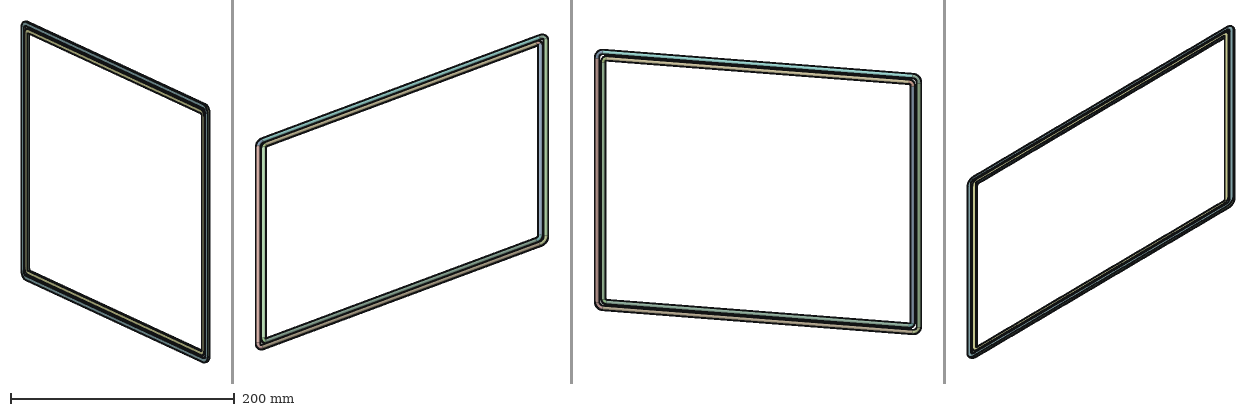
import cadquery as cq
import math

LENGTH = 302.5
HEIGHT = 242.7
DEPTH = 3.3

STRIP_WIDTH = 4.0
FRAME_GAP = 1.8
OUTER_FRAME_RADIUS = 7.5
INNER_FRAME_RADIUS = 5.0

HALF_WIDTH = STRIP_WIDTH / 2
FRONT_Y = -DEPTH / 2
BACK_Y = DEPTH / 2
SHOULDER_Y = BACK_Y - HALF_WIDTH


def centreline(half_length, half_height, radius):
    """Rounded rectangle in the XZ plane, starting at the middle of the +X side."""
    corner_x = half_length - radius
    corner_z = half_height - radius
    diagonal = radius * math.sqrt(0.5)
    arc_x = corner_x + diagonal
    arc_z = corner_z + diagonal
    return (
        cq.Workplane("XZ")
        .moveTo(half_length, 0)
        .lineTo(half_length, corner_z)
        .threePointArc((arc_x, arc_z), (corner_x, half_height))
        .lineTo(-corner_x, half_height)
        .threePointArc((-arc_x, arc_z), (-half_length, corner_z))
        .lineTo(-half_length, -corner_z)
        .threePointArc((-arc_x, -arc_z), (-corner_x, -half_height))
        .lineTo(corner_x, -half_height)
        .threePointArc((arc_x, -arc_z), (half_length, -corner_z))
        .close()
    )


def strip_section(centre_x):
    """D-shaped section in the XY plane: flat front and half-round back."""
    return (
        cq.Workplane("XY")
        .moveTo(centre_x - HALF_WIDTH, FRONT_Y)
        .lineTo(centre_x + HALF_WIDTH, FRONT_Y)
        .lineTo(centre_x + HALF_WIDTH, SHOULDER_Y)
        .threePointArc((centre_x, BACK_Y), (centre_x - HALF_WIDTH, SHOULDER_Y))
        .close()
    )


def make_frame(length, height, corner_radius):
    """Strip swept once round a rounded rectangle of the given outer size."""
    half_length = length / 2 - HALF_WIDTH
    half_height = height / 2 - HALF_WIDTH
    path = centreline(half_length, half_height, corner_radius - HALF_WIDTH)
    return strip_section(half_length).sweep(path)


outer_frame = make_frame(LENGTH, HEIGHT, OUTER_FRAME_RADIUS)

inset = STRIP_WIDTH + FRAME_GAP
inner_frame = make_frame(LENGTH - 2 * inset, HEIGHT - 2 * inset, INNER_FRAME_RADIUS)

result = cq.Compound.makeCompound([outer_frame.val(), inner_frame.val()])